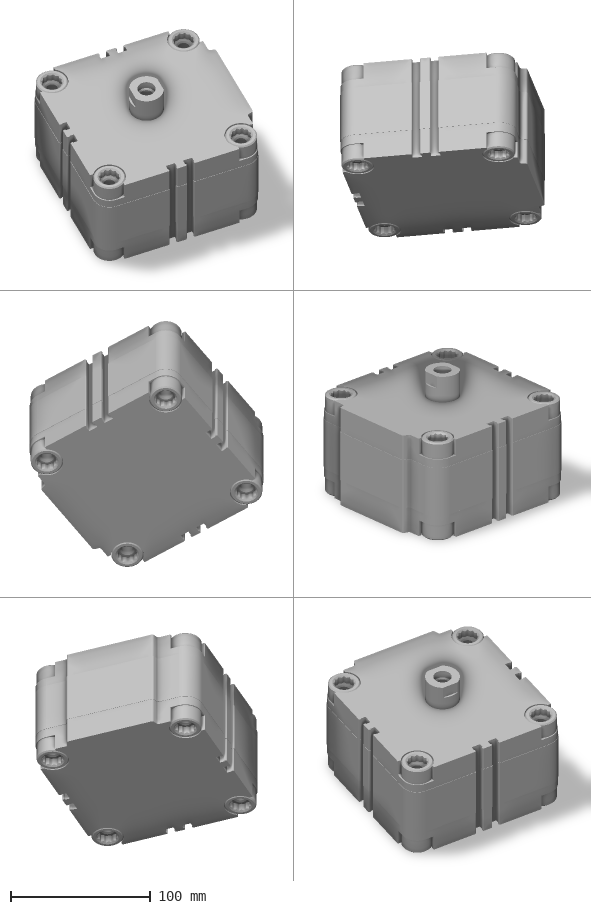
import cadquery as cq
import math


BODY_WIDTH = 128.0
HALF_WIDTH = BODY_WIDTH / 2
BODY_LENGTH = 133.0
BODY_HEIGHT = 76.5
TOTAL_HEIGHT = 96.5
BOTTOM_END_HEIGHT = 19.5
TOP_END_HEIGHT = 19.0
TOP_END_BASE = BODY_HEIGHT - TOP_END_HEIGHT
END_INSET = 0.23

CORNER_RADIUS = 12.5
SCREW_OFFSET = HALF_WIDTH - CORNER_RADIUS
SCREW_CENTRES = [(sx * SCREW_OFFSET, sy * SCREW_OFFSET) for sx in (-1, 1) for sy in (-1, 1)]
SCREW_HOLE_DIAMETER = 8.4
HEAD_DIAMETER = 23.0
HEAD_POCKET_DIAMETER = 23.5
HEAD_HEIGHT = 12.4
HEAD_CHAMFER = 0.9
HEAD_NOTCH = 19.2
SOCKET_RIM_DIAMETER = 17.0
SOCKET_RIM_DEPTH = 1.6
SOCKET_DIAMETER = 15.4
SOCKET_FLATS = SOCKET_DIAMETER * math.cos(math.pi / 6)
SOCKET_DEPTH = 6.5
SECOND_HEXAGON_TURN = 30.0
BORE_RIM_DIAMETER = 10.5

PAD_HEIGHT = BODY_LENGTH - BODY_WIDTH
PAD_TOP_WIDTH = 67.3
PAD_FOOT_WIDTH = 70.5
PAD_ROUNDING = 1.6

SLOT_INNER_WALL = 3.2
SLOT_OUTER_WALL = 10.2
SLOT_DEPTH = 5.9
SLOT_LIP = 2.1
MOUTH_INNER_WALL = 4.1
MOUTH_OUTER_WALL = 9.5
MOUTH_CHAMFER = 0.5
SLOT_SIDE_ANGLES = (-90, 0, 90)

ROD_DIAMETER = 25.0
ROD_BASE = TOP_END_BASE
ROD_FLATS = 22.0
ROD_FLAT_LENGTH = 9.0
ROD_COUNTERBORE_DIAMETER = 13.0
ROD_COUNTERBORE_DEPTH = 6.0
ROD_BORE_RIM_DIAMETER = 11.5
ROD_BORE_DIAMETER = 10.1
ROD_BORE_DEPTH = 20.0
DRILL_POINT_ANGLE = 118.0


def revolved(profile):
    """Solid of revolution about Z from (radius, z) points."""
    return cq.Workplane("XZ").polyline(profile).close().revolve(360, (0, 0, 0), (0, 1, 0))


def cone_cutter(top_diameter, bottom_diameter, depth, z_top):
    """Cone on the Z axis narrowing downward from z_top."""
    return revolved([
        (0, z_top),
        (top_diameter / 2, z_top),
        (bottom_diameter / 2, z_top - depth),
        (0, z_top - depth),
    ])



def rounded_block(height, inset):
    """Square block with rounded corners and the raised pad on its +Y side."""
    width = BODY_WIDTH - 2 * inset
    block = cq.Workplane("XY").rect(width, width).extrude(height)
    block = block.edges("|Z").fillet(CORNER_RADIUS - inset)
    foot_y = HALF_WIDTH - inset
    half_top = PAD_TOP_WIDTH / 2 - inset
    half_foot = PAD_FOOT_WIDTH / 2 - inset
    pad = cq.Workplane("XY").polyline([
        (-half_foot, 0),
        (-half_foot, foot_y),
        (-half_top, foot_y + PAD_HEIGHT),
        (half_top, foot_y + PAD_HEIGHT),
        (half_foot, foot_y),
        (half_foot, 0),
    ]).close().extrude(height)
    pad_region = cq.selectors.BoxSelector(
        (-half_foot - PAD_ROUNDING, foot_y - PAD_ROUNDING, 0),
        (half_foot + PAD_ROUNDING, foot_y + PAD_HEIGHT + PAD_ROUNDING, height),
    )
    return block.union(pad).edges("|Z").edges(pad_region).fillet(PAD_ROUNDING)


def cut_slot_pairs(block, outline, height):
    """Cut one outline and its mirror image through the three slotted sides."""
    slot = cq.Workplane("XY").polyline(outline).close().extrude(height)
    pair = slot.union(slot.mirror("YZ"))
    for angle in SLOT_SIDE_ANGLES:
        block = block.cut(pair.rotate((0, 0, 0), (0, 0, 1), angle))
    return block


def body_section(z_base, z_top, inset):
    """One level of the body, with the narrow chamfered mouths of its slots."""
    height = z_top - z_base
    face = -HALF_WIDTH + inset
    inner = MOUTH_INNER_WALL - inset
    outer = MOUTH_OUTER_WALL + inset
    mouth = [
        (inner - MOUTH_CHAMFER, face),
        (inner, face + MOUTH_CHAMFER),
        (inner, -HALF_WIDTH + SLOT_DEPTH),
        (outer, -HALF_WIDTH + SLOT_DEPTH),
        (outer, face + MOUTH_CHAMFER),
        (outer + MOUTH_CHAMFER, face),
    ]
    section = cut_slot_pairs(rounded_block(height, inset), mouth, height)
    return section.translate((0, 0, z_base))


def slotted_body():
    """Three stacked levels joined into one body, with the wide slot channels cut full height."""
    body = body_section(BOTTOM_END_HEIGHT, TOP_END_BASE, 0)
    body = body.union(body_section(0, BOTTOM_END_HEIGHT, END_INSET))
    body = body.union(body_section(TOP_END_BASE, BODY_HEIGHT, END_INSET))
    lip = -HALF_WIDTH + SLOT_LIP
    floor = -HALF_WIDTH + SLOT_DEPTH
    channel = [
        (SLOT_INNER_WALL, lip),
        (SLOT_INNER_WALL, floor),
        (SLOT_OUTER_WALL, floor),
        (SLOT_OUTER_WALL, lip),
    ]
    return cut_slot_pairs(body, channel, BODY_HEIGHT)


def head_seat_cutter():
    """Square corner notches and round pockets that clear the four upper screw heads."""
    notch_pitch = BODY_WIDTH - HEAD_NOTCH
    seat = cq.Workplane("XY").workplane(offset=BODY_HEIGHT - HEAD_HEIGHT)
    notches = seat.rarray(notch_pitch, notch_pitch, 2, 2).rect(HEAD_NOTCH, HEAD_NOTCH).extrude(HEAD_HEIGHT)
    pockets = seat.pushPoints(SCREW_CENTRES).circle(HEAD_POCKET_DIAMETER / 2).extrude(HEAD_HEIGHT)
    return notches.union(pockets)


def socket_cutter():
    """Double-hexagon socket with a bevelled rim and a bevelled bore mouth in its floor."""
    floor = BODY_HEIGHT - SOCKET_DEPTH
    hexagon = cq.Workplane("XY").workplane(offset=floor).polygon(6, SOCKET_DIAMETER).extrude(SOCKET_DEPTH)
    rim = cone_cutter(SOCKET_RIM_DIAMETER, SOCKET_FLATS, SOCKET_RIM_DEPTH, BODY_HEIGHT)
    bore_mouth_depth = (BORE_RIM_DIAMETER - SCREW_HOLE_DIAMETER) / 2
    bore_mouth = cone_cutter(BORE_RIM_DIAMETER, SCREW_HOLE_DIAMETER, bore_mouth_depth, floor)
    turned = hexagon.rotate((0, 0, 0), (0, 0, 1), SECOND_HEXAGON_TURN)
    return hexagon.union(turned).union(rim).union(bore_mouth)


def screw_heads():
    """Four socket heads, flush with the top of the body."""
    head = (
        cq.Workplane("XY").workplane(offset=BODY_HEIGHT - HEAD_HEIGHT)
        .circle(HEAD_DIAMETER / 2).extrude(HEAD_HEIGHT)
        .faces(">Z").edges().chamfer(HEAD_CHAMFER)
        .cut(socket_cutter())
    )
    heads = cq.Workplane("XY")
    for x, y in SCREW_CENTRES:
        heads = heads.add(head.translate((x, y, 0)))
    return heads.combine()


def flipped(shape):
    """Mirror image about the mid-height of the body."""
    return shape.mirror("XY", (0, 0, BODY_HEIGHT / 2))


def make_housing():
    """Body with its screw heads at both ends, screw holes right through and a seat for the rod."""
    seats = head_seat_cutter()
    heads = screw_heads()
    housing = slotted_body().cut(seats).cut(flipped(seats)).union(heads).union(flipped(heads))
    screw_holes = (
        cq.Workplane("XY").pushPoints(SCREW_CENTRES)
        .circle(SCREW_HOLE_DIAMETER / 2).extrude(BODY_HEIGHT)
    )
    rod_seat = (
        cq.Workplane("XY").workplane(offset=ROD_BASE)
        .circle(ROD_DIAMETER / 2).extrude(BODY_HEIGHT - ROD_BASE)
    )
    return housing.cut(screw_holes).cut(rod_seat)



def rod_bore_cutter():
    """Counterbore, bevelled bore and drill point, from the rod's tip downward."""
    bore_radius = ROD_BORE_DIAMETER / 2
    rim_radius = ROD_BORE_RIM_DIAMETER / 2
    ledge = TOTAL_HEIGHT - ROD_COUNTERBORE_DEPTH
    bore_floor = TOTAL_HEIGHT - ROD_BORE_DEPTH
    point_depth = bore_radius / math.tan(math.radians(DRILL_POINT_ANGLE / 2))
    return revolved([
        (0, TOTAL_HEIGHT),
        (ROD_COUNTERBORE_DIAMETER / 2, TOTAL_HEIGHT),
        (ROD_COUNTERBORE_DIAMETER / 2, ledge),
        (rim_radius, ledge),
        (bore_radius, ledge - (rim_radius - bore_radius)),
        (bore_radius, bore_floor),
        (0, bore_floor - point_depth),
    ])


def make_piston_rod():
    """Round rod with two wrench flats and a stepped blind bore in its tip."""
    rod = (
        cq.Workplane("XY").workplane(offset=ROD_BASE)
        .circle(ROD_DIAMETER / 2).extrude(TOTAL_HEIGHT - ROD_BASE)
    )
    flats = (
        cq.Workplane("XY").workplane(offset=TOTAL_HEIGHT - ROD_FLAT_LENGTH)
        .rect(2 * ROD_DIAMETER, 2 * ROD_DIAMETER).rect(2 * ROD_DIAMETER, ROD_FLATS)
        .extrude(ROD_FLAT_LENGTH)
    )
    return rod.cut(flats).cut(rod_bore_cutter())


housing = make_housing()
piston_rod = make_piston_rod()
result = cq.Compound.makeCompound([housing.solids().val(), piston_rod.solids().val()])